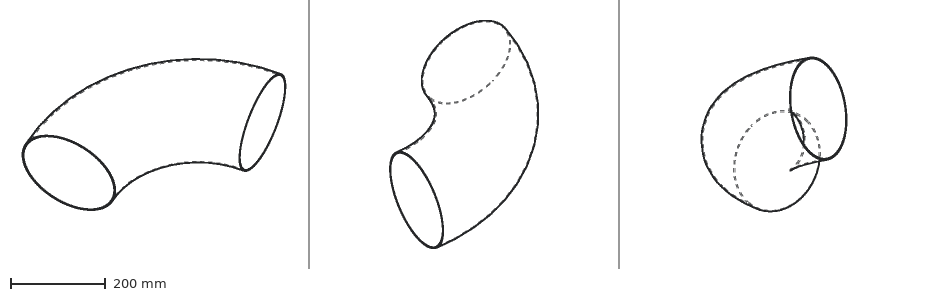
import cadquery as cq

overall_size = 414.5
outer_diameter = 219.5
wall_thickness = 3.0
bend_angle = 90.0

outer_radius = outer_diameter / 2
inner_radius = outer_radius - wall_thickness
bend_radius = overall_size - outer_radius

axis_start = (bend_radius, 0)
axis_end = (bend_radius, -1)

result = (
    cq.Workplane("XZ")
    .center(-bend_radius, 0)
    .circle(outer_radius)
    .circle(inner_radius)
    .revolve(bend_angle, axis_start, axis_end)
)